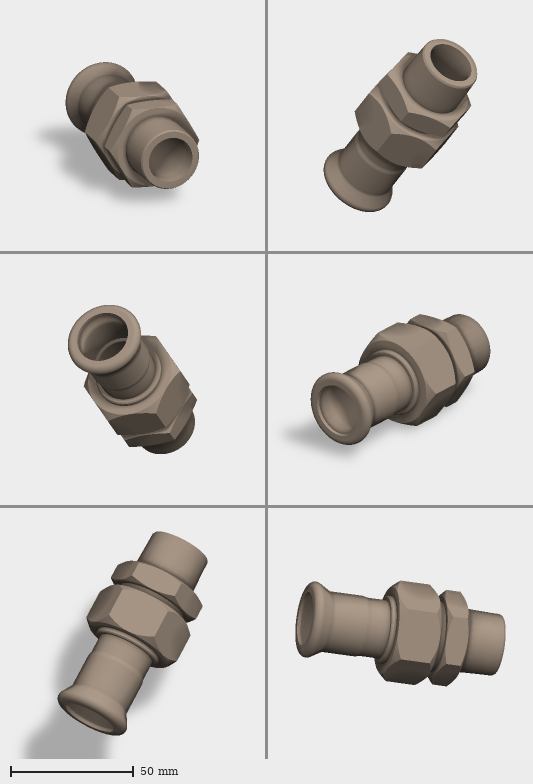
import cadquery as cq
import math


length = 82.0
shoulder_start = 22.7
collar_start = 32.9
nut_start = 34.9
nut_end = 52.9
body_hex_start = 55.85
body_hex_end = 65.0

wall = 1.5
bead_radius = 2.5
bead_center_r = 13.2
lip_bore_r = 11.0
flare_angle = math.radians(30)
bend_radius = 2.0
socket_r = 25.0 / 2
neck_r = 24.0 / 2
shoulder_angle = math.radians(15)

collar_r = 28.0 / 2
collar_chamfer = 0.5
seat_r = 29.0 / 2
seat_start = (nut_start + nut_end) / 2
bore_r = 19.0 / 2

taper_large_r = 13.2
thread_taper = 1 / 16
end_chamfer_length = 0.8
end_chamfer_depth = 0.5

nut_flats = 36.0
nut_chamfer_angle = 45
body_flats = 33.9
body_chamfer_angle = 30
chamfer_inset = 0.1


def arc_end(center, radius, angle):
    """Point on a circle, with the angle measured from the outward radial direction toward +X."""
    return (center[0] + radius * math.sin(angle), center[1] + radius * math.cos(angle))


def flared_socket_outline(outline, radius, center, tube_r, bend):
    """Continue from the bead's flat front through the bead, the flare and the bend to the tube."""
    flare_start = arc_end(center, radius, flare_angle)
    bend_drop = bend * (1 - math.cos(flare_angle))
    flare_end_r = tube_r + bend_drop
    flare_end_x = flare_start[0] + (flare_start[1] - flare_end_r) / math.tan(flare_angle)
    bend_center = (flare_end_x + bend * math.sin(flare_angle), tube_r + bend)
    bend_middle = arc_end(bend_center, -bend, flare_angle / 2)
    bead_middle = arc_end(center, radius, (flare_angle - math.pi / 2) / 2)
    return (
        outline.threePointArc(bead_middle, flare_start)
        .lineTo(flare_end_x, flare_end_r)
        .threePointArc(bend_middle, (bend_center[0], tube_r))
    )


def shoulder_outline(outline):
    """Step down from socket to neck: a cone between two tangent bends."""
    first_center = (shoulder_start, socket_r - bend_radius)
    cone_start = arc_end(first_center, bend_radius, shoulder_angle)
    bend_drop = bend_radius * (1 - math.cos(shoulder_angle))
    cone_end_r = neck_r + bend_drop
    cone_end_x = cone_start[0] + (cone_start[1] - cone_end_r) / math.tan(shoulder_angle)
    second_center = (cone_end_x + bend_radius * math.sin(shoulder_angle), neck_r + bend_radius)
    return (
        outline.lineTo(shoulder_start, socket_r)
        .threePointArc(arc_end(first_center, bend_radius, shoulder_angle / 2), cone_start)
        .lineTo(cone_end_x, cone_end_r)
        .threePointArc(
            arc_end(second_center, -bend_radius, shoulder_angle / 2), (second_center[0], neck_r)
        )
    )


def revolve_about_x(outline):
    return outline.close().revolve(360, (0, 0, 0), (1, 0, 0))


def make_turned_outside():
    bead_center = (bead_radius, bead_center_r)
    chamfer_x = length - end_chamfer_length
    taper_small_r = taper_large_r - (chamfer_x - body_hex_end) * thread_taper / 2
    outline = cq.Workplane("XY").lineTo(0, bead_center_r)
    outline = flared_socket_outline(outline, bead_radius, bead_center, socket_r, bend_radius)
    outline = (
        shoulder_outline(outline)
        .lineTo(collar_start, neck_r)
        .lineTo(collar_start, collar_r - collar_chamfer)
        .lineTo(collar_start + collar_chamfer, collar_r)
        .lineTo(seat_start, collar_r)
        .lineTo(seat_start, seat_r)
        .lineTo(body_hex_end, seat_r)
        .lineTo(body_hex_end, taper_large_r)
        .lineTo(chamfer_x, taper_small_r)
        .lineTo(length, taper_small_r - end_chamfer_depth)
        .lineTo(length, 0)
    )
    return revolve_about_x(outline)


def make_bore():
    """Lip opening, seal groove inside the bead, tube socket with a stop, and through bore."""
    groove_center = (bead_radius, bead_center_r)
    outline = (
        cq.Workplane("XY")
        .lineTo(0, lip_bore_r)
        .lineTo(wall, lip_bore_r)
        .lineTo(wall, bead_center_r)
    )
    outline = flared_socket_outline(
        outline, bead_radius - wall, groove_center, socket_r - wall, bend_radius + wall
    )
    outline = (
        outline.lineTo(shoulder_start, socket_r - wall)
        .lineTo(shoulder_start, bore_r)
        .lineTo(length, bore_r)
        .lineTo(length, 0)
    )
    return revolve_about_x(outline)


def make_hexagon(start, end, flats, chamfer_angle):
    """Hexagonal prism with flats facing +Z and -Z and conically chamfered corners."""
    corner_r = flats / math.sqrt(3)
    face_r = flats / 2 - chamfer_inset
    chamfer_length = (corner_r - face_r) * math.tan(math.radians(chamfer_angle))
    prism = cq.Workplane("YZ", origin=(start, 0, 0)).polygon(6, 2 * corner_r).extrude(end - start)
    envelope = revolve_about_x(
        cq.Workplane("XY")
        .moveTo(start, 0)
        .lineTo(start, face_r)
        .lineTo(start + chamfer_length, corner_r)
        .lineTo(end - chamfer_length, corner_r)
        .lineTo(end, face_r)
        .lineTo(end, 0)
    )
    return prism.intersect(envelope)


def make_fitting():
    body_hex = make_hexagon(body_hex_start, body_hex_end, body_flats, body_chamfer_angle)
    return make_turned_outside().union(body_hex).cut(make_bore())


def make_union_nut():
    """Nut whose stepped bore fits the collar at the front and the larger seat behind it."""
    nut = make_hexagon(nut_start, nut_end, nut_flats, nut_chamfer_angle)
    nut_length = nut_end - nut_start
    collar_bore = cq.Workplane("YZ", origin=(nut_start, 0, 0)).circle(collar_r).extrude(nut_length)
    seat_bore = (
        cq.Workplane("YZ", origin=(seat_start, 0, 0)).circle(seat_r).extrude(nut_end - seat_start)
    )
    return nut.cut(collar_bore).cut(seat_bore)


fitting = make_fitting()
union_nut = make_union_nut()

result = cq.Compound.makeCompound([fitting.solids().val(), union_nut.solids().val()])